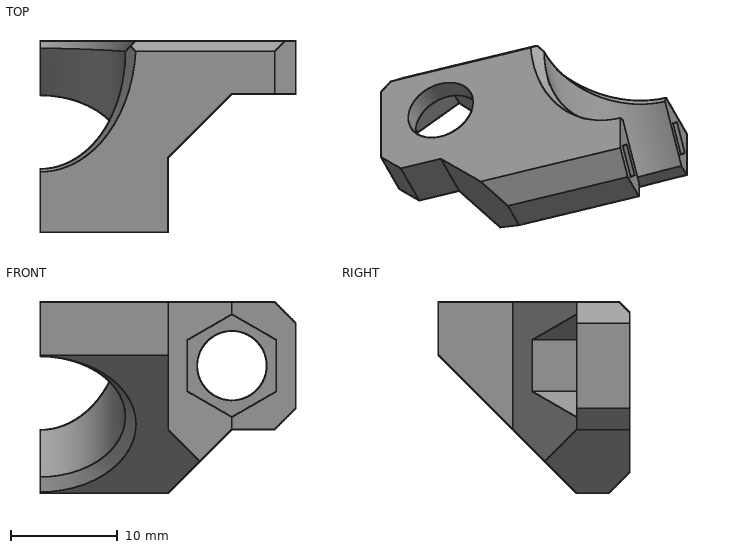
import cadquery as cq

depth = 18.0
height = 18.0
body_length = 12.0
split_offset = 13.0
back_corner = 2.0
edge_chamfer = 1.0

ear_size = 12.0
ear_thickness = 5.0
ear_corner = 2.0
bolt_x = body_length + ear_size / 2
bolt_z = height - ear_size / 2
ear_end = body_length + ear_size
ear_bottom = height - ear_size
ear_front = depth - ear_thickness
bolt_diameter = 6.5
nut_across_corners = 9.65
nut_depth = 3.0

bore_radius = 8.0
bore_center = split_offset / 2

tie_inner_radius = 8.8
tie_thickness = 1.5
tie_width = 3.0
tie_offset = 2.0

bore_plane = cq.Plane(
    origin=(0, bore_center, bore_center),
    xDir=(1, 0, 0),
    normal=(0, 1, 1),
)


def front_outline():
    """Body and ear seen along Y, extruded over the full depth."""
    points = [
        (0, 0),
        (body_length, 0),
        (bolt_x, ear_bottom),
        (ear_end - ear_corner, ear_bottom),
        (ear_end, ear_bottom + ear_corner),
        (ear_end, height - ear_corner),
        (ear_end - ear_corner, height),
        (0, height),
    ]
    return cq.Workplane("XZ").polyline(points).close().extrude(-depth)


def top_outline():
    """Thick body tapering at 45 degrees to the thin ear, seen along Z."""
    taper = bolt_x - body_length
    points = [
        (0, 0),
        (body_length, 0),
        (body_length, ear_front - taper),
        (bolt_x, ear_front),
        (ear_end, ear_front),
        (ear_end, depth),
        (0, depth),
    ]
    return cq.Workplane("XY").polyline(points).close().extrude(height)


def side_outline():
    """Sloped split face at the front and bevelled lower back edge, seen along X."""
    points = [
        (split_offset, 0),
        (depth - back_corner, 0),
        (depth, back_corner),
        (depth, height),
        (0, height),
        (0, split_offset),
    ]
    return cq.Workplane("YZ").polyline(points).close().extrude(ear_end)


def bore():
    length = depth + height
    return cq.Workplane(bore_plane).circle(bore_radius).extrude(length, both=True)


def chamfer_bore_rims(block):
    """Chamfer where the bore meets the split face, the top and the back."""
    return block.edges("%ELLIPSE or %CIRCLE").chamfer(edge_chamfer)


def chamfer_top_back_edge(block):
    return block.edges(">Y and >Z").chamfer(edge_chamfer)


def bolt_hole():
    return (
        cq.Workplane("XZ", origin=(bolt_x, 0, bolt_z))
        .circle(bolt_diameter / 2)
        .extrude(-depth)
    )


def nut_pocket():
    """Hexagonal pocket, open to the front, with a corner pointing up."""
    return (
        cq.Workplane("XZ", origin=(bolt_x, 0, bolt_z))
        .transformed(rotate=(0, 0, 90))
        .polygon(6, nut_across_corners)
        .extrude(-(ear_front + nut_depth))
    )


def tie_channel():
    return (
        cq.Workplane(bore_plane)
        .workplane(offset=tie_offset)
        .circle(tie_inner_radius + tie_thickness)
        .circle(tie_inner_radius)
        .extrude(tie_width)
    )


block = front_outline().intersect(top_outline()).intersect(side_outline())
block = chamfer_bore_rims(block.cut(bore()))
block = chamfer_top_back_edge(block)
result = block.cut(bolt_hole()).cut(nut_pocket()).cut(tie_channel())